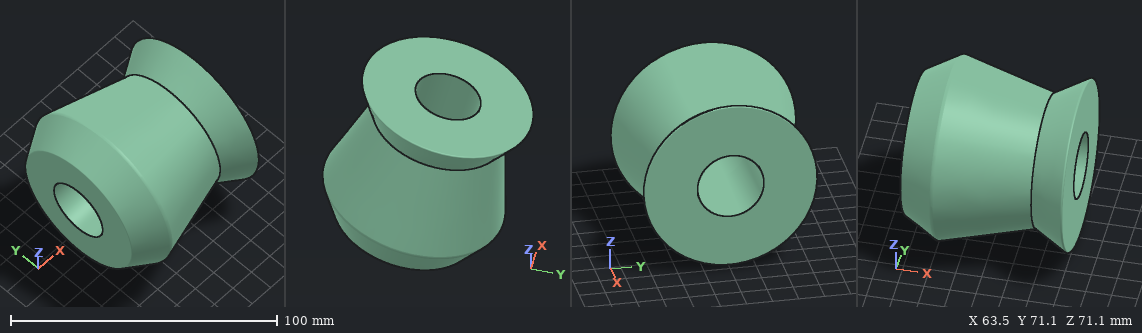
import math
import cadquery as cq

length = 63.5
crown_radius = 35.55
bore_radius = 12.7

crown_station = 13.5
neck_station = 49.9

end_cone_angle = math.radians(30)
taper_angle = math.radians(15)

crown_round = 1.8
end_round = 0.6

crown_tangent = crown_round * math.tan((end_cone_angle + taper_angle) / 2)
rounding_loss = crown_tangent * math.sin(end_cone_angle) - crown_round * (1 - math.cos(end_cone_angle))
crown_corner_radius = crown_radius + rounding_loss

front_radius = crown_corner_radius - crown_station * math.tan(end_cone_angle)
neck_radius = crown_corner_radius - (neck_station - crown_station) * math.tan(taper_angle)
flange_radius = neck_radius + (length - neck_station) * math.tan(end_cone_angle)

front_x = -length / 2
back_x = length / 2
crown_x = front_x + crown_station
neck_x = front_x + neck_station


def turned_body():
    """Revolve the sharp outer profile: front cone, taper, neck and flared flange."""
    profile = (
        cq.Workplane("XZ")
        .moveTo(front_x, 0)
        .lineTo(front_x, front_radius)
        .lineTo(crown_x, crown_corner_radius)
        .lineTo(neck_x, neck_radius)
        .lineTo(back_x, flange_radius)
        .lineTo(back_x, 0)
        .close()
    )
    return profile.revolve(360, (0, 0, 0), (1, 0, 0))


def round_edges(body):
    """Round the crown and the outer edges of both end faces."""
    crown_edge = cq.selectors.RadiusNthSelector(-1)
    body = body.edges("%CIRCLE").edges(crown_edge).fillet(crown_round)
    return body.faces("<X or >X").edges().fillet(end_round)


def bore():
    """Cylinder through the full length along the axis."""
    return cq.Workplane("YZ").circle(bore_radius).extrude(length / 2, both=True)


result = round_edges(turned_body()).cut(bore())